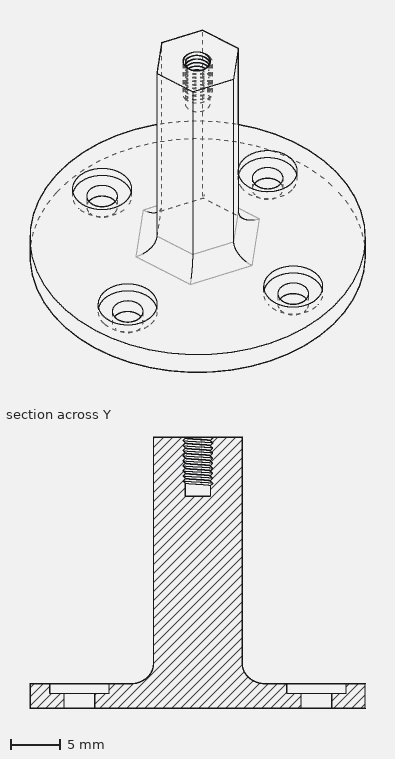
import cadquery as cq
import math

flange_diameter = 34
flange_thickness = 2.5
total_height = 27.5

hole_count = 4
hole_circle_radius = 12.0
hole_diameter = 3.1
counterbore_diameter = 6.0
counterbore_depth = 1.0

post_across_flats = 7.82
flare_radius = 2.0

bore_diameter = 2.5
bore_depth = 6.0
thread_diameter = 3.0
thread_pitch = 0.5
thread_turns = 10
groove_width = 0.9 * thread_pitch
groove_overlap = 0.35
groove_top_angle = -105


def make_flange():
    return (
        cq.Workplane("XY")
        .circle(flange_diameter / 2)
        .extrude(flange_thickness)
        .faces(">Z")
        .workplane()
        .polarArray(hole_circle_radius, 0, 360, hole_count)
        .cboreHole(hole_diameter, counterbore_diameter, counterbore_depth)
    )


def make_flared_bar():
    """Long bar along X whose two sides curve outward to meet the flange."""
    half_width = post_across_flats / 2
    foot = half_width + flare_radius
    flare_top = flange_thickness + flare_radius
    arc_offset = flare_radius * (1 - math.sqrt(0.5))
    arc_y = half_width + arc_offset
    arc_z = flange_thickness + arc_offset
    return (
        cq.Workplane("YZ")
        .moveTo(-foot, 0)
        .lineTo(foot, 0)
        .lineTo(foot, flange_thickness)
        .threePointArc((arc_y, arc_z), (half_width, flare_top))
        .lineTo(half_width, total_height)
        .lineTo(-half_width, total_height)
        .lineTo(-half_width, flare_top)
        .threePointArc((-arc_y, arc_z), (-foot, flange_thickness))
        .close()
        .extrude(flange_diameter / 2, both=True)
    )


def make_post():
    """Three crossed bars share a hexagonal post with a mitred flare."""
    bar = make_flared_bar()
    post = bar
    for angle in (60, 120):
        post = post.intersect(bar.rotate((0, 0, 0), (0, 0, 1), angle))
    return post


def make_bore():
    return (
        cq.Workplane("XY")
        .workplane(offset=total_height - bore_depth)
        .circle(bore_diameter / 2)
        .extrude(bore_depth)
    )


def make_groove_half_turn():
    """Half a turn of a right-hand V groove, starting on the X axis at Z = 0."""
    bore_radius = bore_diameter / 2
    crest_radius = thread_diameter / 2
    inner_radius = bore_radius - groove_overlap
    slope = groove_width / 2 / (crest_radius - bore_radius)
    inner_half_width = slope * (crest_radius - inner_radius)
    helix = cq.Wire.makeHelix(thread_pitch, thread_pitch / 2, bore_radius)
    return (
        cq.Workplane("XZ")
        .moveTo(inner_radius, -inner_half_width)
        .lineTo(crest_radius, 0)
        .lineTo(inner_radius, inner_half_width)
        .close()
        .sweep(cq.Workplane(helix), isFrenet=True)
    )


def cut_thread(post):
    """Cut the groove in half turns, from the end face downward."""
    half_turn = make_groove_half_turn()
    for step in range(2 * thread_turns):
        angle = groove_top_angle + 180 * step
        z = total_height - step * thread_pitch / 2
        post = post.cut(half_turn.rotate((0, 0, 0), (0, 0, 1), angle).translate((0, 0, z)))
    return post


post = cut_thread(make_post().cut(make_bore()))
result = make_flange().union(post)